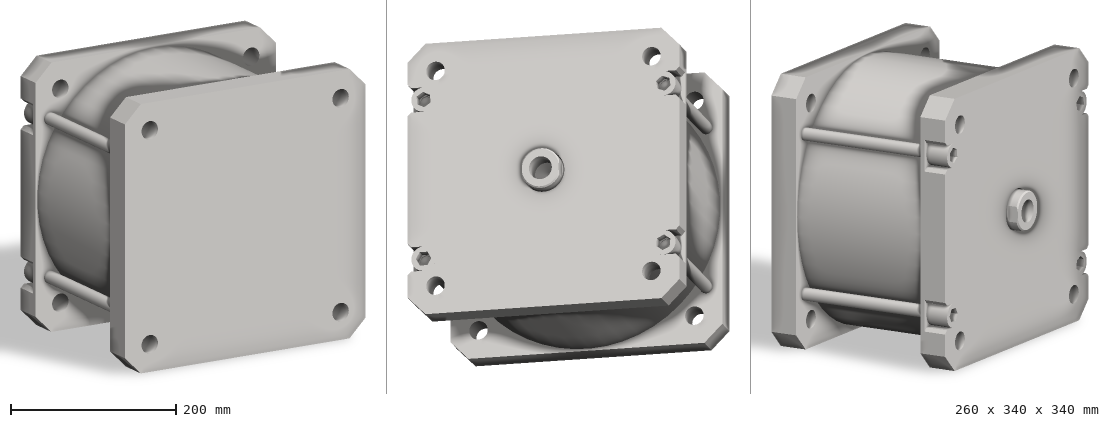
import cadquery as cq
import math

plate_side = 340.0
plate_thickness = 35.0
barrel_length = 175.0
shaft_protrusion = 15.0
front_plate_x = shaft_protrusion
barrel_x = front_plate_x + plate_thickness
rear_plate_x = barrel_x + barrel_length
overall_length = rear_plate_x + plate_thickness

corner_chamfer = 22.5
mounting_hole_diameter = 23.0
mounting_hole_spacing = 270.0

barrel_diameter = 335.0

bolt_spacing_y = 300.0
bolt_spacing_z = 200.0
bolt_diameter = 16.0
bolt_head_diameter = 30.5
bolt_head_length = 29.0
socket_across_corners = 19.5
socket_depth = 13.5
socket_floor_diameter = 14.5
socket_floor_depth = 1.7
slot_mouth_chamfer = 4.5

shaft_diameter = 50.0
shaft_length = shaft_protrusion + plate_thickness
shaft_end_chamfer = 1.7
shaft_across_flats = 46.0
flat_length = 13.3
shaft_hole_diameter = 52.5
bore_diameter = 28.5
bore_depth = 30.0
bore_tip_angle = 118.0

bolt_centers = [
    (side_y * bolt_spacing_y / 2, side_z * bolt_spacing_z / 2)
    for side_y in (-1, 1)
    for side_z in (-1, 1)
]

socket_angles = [5.0, -10.0, 30.0, -4.0]


def section_at(x):
    """Workplane facing +X at the given X, whose local axes are Y and Z."""
    return cq.Workplane("YZ", origin=(x, 0, 0))


def make_plate(x):
    """Square plate with cut corners, mounting holes and holes for the tie bolts."""
    return (
        section_at(x)
        .rect(plate_side, plate_side)
        .extrude(plate_thickness)
        .edges("|X")
        .chamfer(corner_chamfer)
        .faces("<X")
        .workplane(origin=(x, 0, 0))
        .rect(mounting_hole_spacing, mounting_hole_spacing, forConstruction=True)
        .vertices()
        .hole(mounting_hole_diameter)
        .cut(section_at(x).pushPoints(bolt_centers).circle(bolt_diameter / 2).extrude(plate_thickness))
    )


def make_head_slot(center_y, center_z):
    """Round-ended slot open to the plate side, with a chamfered mouth."""
    half_width = bolt_head_diameter / 2
    half_mouth = half_width + slot_mouth_chamfer
    outward = math.copysign(1, center_y)
    plate_edge_y = outward * plate_side / 2
    chamfer_start_y = plate_edge_y - outward * slot_mouth_chamfer
    return (
        section_at(front_plate_x)
        .moveTo(plate_edge_y, center_z + half_mouth)
        .lineTo(chamfer_start_y, center_z + half_width)
        .lineTo(center_y, center_z + half_width)
        .threePointArc((center_y - outward * half_width, center_z), (center_y, center_z - half_width))
        .lineTo(chamfer_start_y, center_z - half_width)
        .lineTo(plate_edge_y, center_z - half_mouth)
        .close()
        .extrude(bolt_head_length)
    )


def make_front_plate():
    """Plate with the shaft hole and a slot for each bolt head."""
    plate = make_plate(front_plate_x)
    plate = plate.cut(section_at(front_plate_x).circle(shaft_hole_diameter / 2).extrude(plate_thickness))
    for center_y, center_z in bolt_centers:
        plate = plate.cut(make_head_slot(center_y, center_z))
    return plate


def make_barrel():
    """Plain cylinder clamped between the plates."""
    return section_at(barrel_x).circle(barrel_diameter / 2).extrude(barrel_length)


def make_tie_bolt(center_y, center_z, socket_angle):
    """Bolt reaching the rear plate's far face, with a hex socket and a round recess in its floor."""
    axis = section_at(front_plate_x).center(center_y, center_z)
    rod = axis.circle(bolt_diameter / 2).extrude(overall_length - front_plate_x)
    head = axis.circle(bolt_head_diameter / 2).extrude(bolt_head_length)
    socket = (
        axis.transformed(rotate=(0, 0, 90 + socket_angle))
        .polygon(6, socket_across_corners)
        .extrude(socket_depth)
    )
    socket_floor = axis.circle(socket_floor_diameter / 2).extrude(socket_depth + socket_floor_depth)
    return rod.union(head).cut(socket).cut(socket_floor)


def make_shaft():
    """Shaft stub with two wrench flats and a drilled bore with a conical bottom."""
    shaft = (
        section_at(0)
        .circle(shaft_diameter / 2)
        .extrude(shaft_length)
        .faces("<X")
        .chamfer(shaft_end_chamfer)
    )
    flat_cutter = (
        section_at(0)
        .rect(2 * shaft_diameter, 2 * shaft_diameter)
        .rect(shaft_across_flats, 2 * shaft_diameter)
        .extrude(flat_length)
    )
    bore_radius = bore_diameter / 2
    tip_length = bore_radius / math.tan(math.radians(bore_tip_angle / 2))
    bore = (
        cq.Workplane("XY")
        .polyline([(0, 0), (0, bore_radius), (bore_depth, bore_radius), (bore_depth + tip_length, 0)])
        .close()
        .revolve(360, (0, 0, 0), (1, 0, 0))
    )
    return shaft.cut(flat_cutter).cut(bore)


front_plate = make_front_plate()
rear_plate = make_plate(rear_plate_x)
barrel = make_barrel()
shaft = make_shaft()
tie_bolts = [
    make_tie_bolt(center_y, center_z, socket_angle)
    for (center_y, center_z), socket_angle in zip(bolt_centers, socket_angles)
]

result = cq.Compound.makeCompound(
    [
        front_plate.val(),
        rear_plate.val(),
        barrel.val(),
        shaft.val(),
        *[bolt.val() for bolt in tie_bolts],
    ]
)